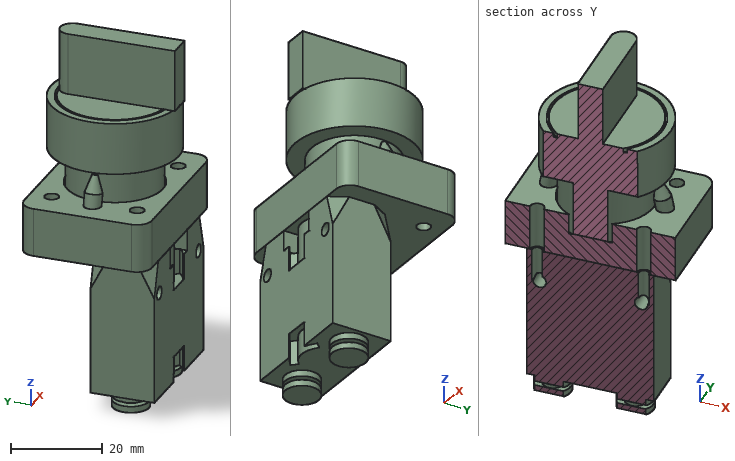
import cadquery as cq
import math

overall_height = 83.5
head_top = 69.05
head_bottom = 56.95
plate_top = 48.4
plate_bottom = 37.1
valve_bottom = 3.9

head_dia = 30.0
head_groove_outer_dia = 26.5
head_groove_inner_dia = 25.5
head_groove_depth = 1.0
handle_width = 5.9
handle_tip_y = 12.9
handle_front_y = -15.2
neck_dia = 21.7
neck_seat_depth = 5.0

plate_length = 40.0
plate_width = head_dia
plate_corner_radius = 3.5
neck_seat_dia = 22.5
plate_hole_dia = 3.25
plate_hole_x = 12.5
plate_hole_y = 10.0

peg_dia = 4.0
peg_tip_dia = 1.25
peg_tilt = math.radians(12)
peg_shoulder_x = 13.0
peg_shoulder_z = 51.3
peg_shank_length = 4.6
peg_cone_length = 4.1

valve_length = 30.0
valve_depth = plate_width / 2
valve_center_y = -valve_depth / 2
valve_height = plate_bottom - valve_bottom
corner_cut_x = 2.4
corner_cut_y = 4.3
corner_cut_z = 8.1
tapped_hole_dia = 2.4
side_hole_dia = 3.0
side_hole_x = 11.9
side_hole_z = 29.05

core_dia = 12.0
ring_dia = 15.8
ring_mouth_width = 6.35
ring_height = 6.0
upper_slot_width = 10.3
upper_slot_depth = 3.7
upper_slot_height = 5.0

fitting_x = 9.7
fitting_dia = 8.5
fitting_groove_dia = 5.0
fitting_flange_bottom = 2.4
fitting_groove_bottom = 1.5


def disc(diameter, bottom, top, x=0.0, y=0.0):
    """Upright cylinder between two heights."""
    return cq.Workplane("XY", origin=(x, y, bottom)).circle(diameter / 2).extrude(top - bottom)


def make_handle():
    """Upright bar on the head, rounded at its rear end."""
    half_width = handle_width / 2
    tangent_y = handle_tip_y - half_width
    return (
        cq.Workplane("XY", origin=(0, 0, head_top))
        .moveTo(-half_width, handle_front_y)
        .lineTo(half_width, handle_front_y)
        .lineTo(half_width, tangent_y)
        .threePointArc((0, handle_tip_y), (-half_width, tangent_y))
        .close()
        .extrude(overall_height - head_top)
    )


def make_head():
    """Round head with a ring groove, a handle and a neck that goes down into the plate."""
    rim = disc(head_dia, head_bottom, head_top)
    neck = disc(neck_dia, plate_top - neck_seat_depth, head_bottom)
    groove_bottom = head_top - head_groove_depth
    groove = disc(head_groove_outer_dia, groove_bottom, head_top).cut(
        disc(head_groove_inner_dia, groove_bottom, head_top)
    )
    return rim.cut(groove).union(neck).union(make_handle())


def make_peg(side):
    """Pointed peg that leans toward the neck; side is -1 or 1."""
    axis = cq.Vector(-side * math.sin(peg_tilt), 0, math.cos(peg_tilt))
    shoulder = cq.Vector(side * peg_shoulder_x, 0, peg_shoulder_z)
    foot = shoulder - axis * peg_shank_length
    shank = cq.Solid.makeCylinder(peg_dia / 2, peg_shank_length, foot, axis)
    point = cq.Solid.makeCone(peg_dia / 2, peg_tip_dia / 2, peg_cone_length, shoulder, axis)
    return cq.Workplane(shank).union(cq.Workplane(point))


def make_plate():
    """Rounded plate with a neck seat, four through holes and two pegs."""
    plate = (
        cq.Workplane("XY", origin=(0, 0, plate_bottom))
        .rect(plate_length, plate_width)
        .extrude(plate_top - plate_bottom)
        .edges("|Z")
        .fillet(plate_corner_radius)
    )
    for side in (-1, 1):
        plate = plate.union(make_peg(side))
        for y in (-plate_hole_y, plate_hole_y):
            plate = plate.cut(disc(plate_hole_dia, plate_bottom, plate_top, side * plate_hole_x, y))
    return plate.cut(disc(neck_seat_dia, plate_top - neck_seat_depth, plate_top))


def make_corner_cut(side_x, side_y):
    """Tetrahedron that slopes off one top corner of the valve block."""
    corner = cq.Vector(
        side_x * valve_length / 2, valve_center_y + side_y * valve_depth / 2, plate_bottom
    )
    along_x = corner - cq.Vector(side_x * corner_cut_x, 0, 0)
    along_y = corner - cq.Vector(0, side_y * corner_cut_y, 0)
    below = corner - cq.Vector(0, 0, corner_cut_z)
    points = [corner, along_x, along_y, below]
    faces = []
    for skipped in points:
        outline = [point for point in points if point is not skipped]
        faces.append(cq.Face.makeFromWires(cq.Wire.makePolygon(outline, close=True)))
    return cq.Workplane(cq.Solid.makeSolid(cq.Shell.makeShell(faces)))


def make_ring_cavity(bottom):
    """Quarter of a ring around the core, with a mouth in the front face."""
    reach = ring_dia
    top = bottom + ring_height
    quarter = (
        cq.Workplane("XY", origin=(0, valve_center_y, bottom))
        .polyline([(0, 0), (-reach, -reach), (reach, -reach)])
        .close()
        .extrude(ring_height)
    )
    mouth = (
        cq.Workplane("XY", origin=(0, valve_center_y - valve_depth / 4, bottom))
        .rect(ring_mouth_width, valve_depth / 2)
        .extrude(ring_height)
    )
    return disc(ring_dia, bottom, top, 0, valve_center_y).union(mouth).intersect(quarter)


def make_front_cavities():
    """Wide slot under the plate and two ring cavities, all leaving the round core standing."""
    slot_bottom = plate_bottom - upper_slot_height
    slot = (
        cq.Workplane("XY", origin=(0, -valve_depth + upper_slot_depth / 2, slot_bottom))
        .rect(upper_slot_width, upper_slot_depth)
        .extrude(upper_slot_height)
    )
    upper_ring = make_ring_cavity(slot_bottom - ring_height)
    lower_ring = make_ring_cavity(valve_bottom)
    core = disc(core_dia, valve_bottom, plate_bottom, 0, valve_center_y)
    return slot.union(upper_ring).union(lower_ring).cut(core)


def make_fitting(x):
    """Push-in fitting: two flanges with a groove between them."""
    flange = disc(fitting_dia, fitting_flange_bottom, valve_bottom, x, valve_center_y)
    groove = disc(fitting_groove_dia, fitting_groove_bottom, fitting_flange_bottom, x, valve_center_y)
    collar = disc(fitting_dia, 0, fitting_groove_bottom, x, valve_center_y)
    return flange.union(groove).union(collar)


def make_valve():
    """Valve block with sloped top corners, holes, front cavities and fittings."""
    valve = (
        cq.Workplane("XY", origin=(0, valve_center_y, valve_bottom))
        .rect(valve_length, valve_depth)
        .extrude(valve_height)
        .cut(make_front_cavities())
    )
    for side in (-1, 1):
        for side_y in (-1, 1):
            valve = valve.cut(make_corner_cut(side, side_y))
        cross_hole = (
            cq.Workplane("XZ")
            .center(side * side_hole_x, side_hole_z)
            .circle(side_hole_dia / 2)
            .extrude(valve_depth)
        )
        tapped_hole = disc(
            tapped_hole_dia, side_hole_z, plate_bottom, side * plate_hole_x, -plate_hole_y
        )
        valve = valve.cut(cross_hole).cut(tapped_hole).union(make_fitting(side * fitting_x))
    return valve


head = make_head()
plate = make_plate()
valve = make_valve()

result = cq.Compound.makeCompound([head.val(), plate.val(), valve.val()])